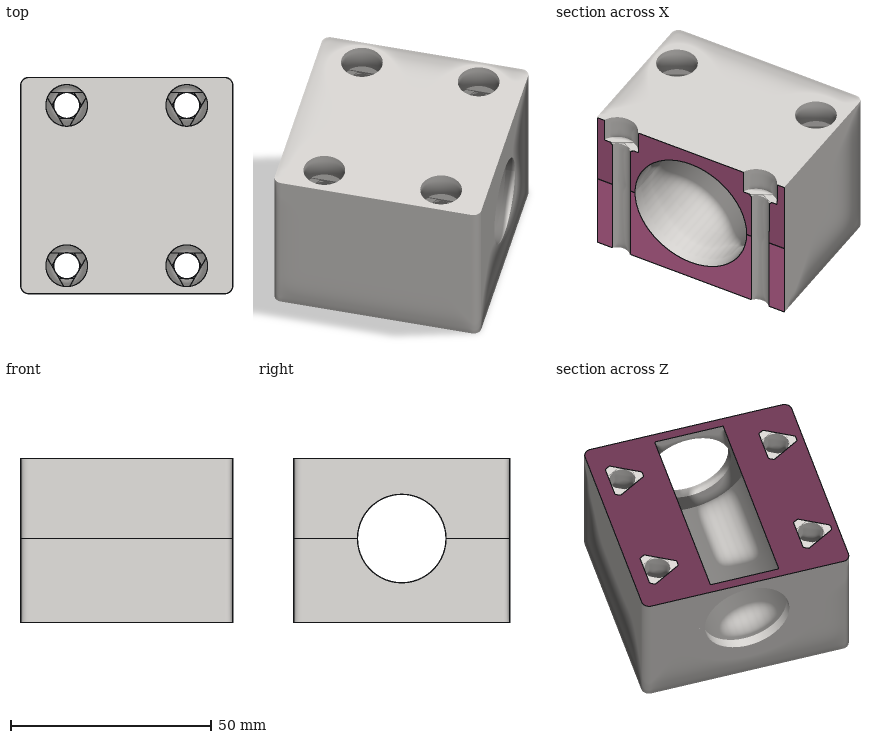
import cadquery as cq
import math

length_x = 53.0
width_y = 54.0
upper_height = 20.0
lower_height = 21.0
corner_radius = 2.0

bore_diameter = 22.05
chamber_diameter = 32.0
lip_thickness = 2.5

screw_spacing_x = 29.95
screw_spacing_y = 40.0
screw_hole_diameter = 6.4
counterbore_diameter = 10.4
counterbore_depth = 6.4
step_depth = 0.25


def rounded_block(bottom_z, height):
    """Rectangular block with rounded vertical edges."""
    block = cq.Workplane("XY", origin=(0, 0, bottom_z)).rect(length_x, width_y).extrude(height)
    return block.edges("|Z").fillet(corner_radius)


def x_cylinder(diameter, length):
    """Cylinder on the bore axis, centred on the block."""
    return cq.Workplane("YZ").circle(diameter / 2).extrude(length / 2, both=True)


def bore_cavity():
    """Through bore with the wider inner chamber."""
    chamber = x_cylinder(chamber_diameter, length_x - 2 * lip_thickness)
    return x_cylinder(bore_diameter, length_x).union(chamber)


def screw_positions():
    """Centres of the four screw holes."""
    return [
        (side_x * screw_spacing_x / 2, side_y * screw_spacing_y / 2)
        for side_x in (-1, 1)
        for side_y in (-1, 1)
    ]


def screw_hole(x, y):
    """Plain hole through both halves."""
    hole = cq.Workplane("XY", origin=(x, y, -lower_height)).circle(screw_hole_diameter / 2)
    return hole.extrude(lower_height + upper_height)


def polygon_step(x, y, bottom_z, side_count):
    """Prism around the screw hole, kept inside the counterbore.

    Its sides are tangent to the screw hole and one of them faces +Y.
    """
    corner_distance = screw_hole_diameter / 2 / math.cos(math.pi / side_count)
    first_angle = math.pi / 2 + math.pi / side_count
    corner_angles = [first_angle + 2 * math.pi * i / side_count for i in range(side_count)]
    corners = [(corner_distance * math.cos(a), corner_distance * math.sin(a)) for a in corner_angles]
    floor = cq.Workplane("XY", origin=(x, y, bottom_z))
    prism = floor.polyline(corners).close().extrude(step_depth)
    limit = floor.circle(counterbore_diameter / 2).extrude(step_depth)
    return prism.intersect(limit)


def screw_counterbore(x, y):
    """Round counterbore that steps down to the screw hole by a triangle and then a hexagon."""
    floor_z = upper_height - counterbore_depth
    triangle_floor_z = floor_z - step_depth
    hexagon_floor_z = triangle_floor_z - step_depth
    bore = cq.Workplane("XY", origin=(x, y, floor_z)).circle(counterbore_diameter / 2)
    bore = bore.extrude(counterbore_depth)
    triangle = polygon_step(x, y, triangle_floor_z, 3)
    hexagon = polygon_step(x, y, hexagon_floor_z, 6)
    return bore.union(triangle).union(hexagon)


def lower_half():
    """Lower clamp block with plain screw holes."""
    body = rounded_block(-lower_height, lower_height).cut(bore_cavity())
    for x, y in screw_positions():
        body = body.cut(screw_hole(x, y))
    return body


def upper_half():
    """Upper clamp block with counterbored screw holes."""
    body = rounded_block(0, upper_height).cut(bore_cavity())
    for x, y in screw_positions():
        body = body.cut(screw_hole(x, y)).cut(screw_counterbore(x, y))
    return body


lower_block = lower_half()
upper_block = upper_half()

result = cq.Compound.makeCompound([lower_block.val(), upper_block.val()])